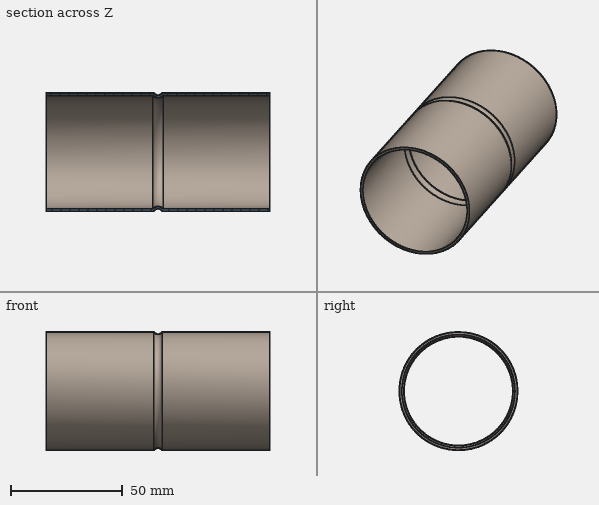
import cadquery as cq
import math

length = 100.0
outer_diameter = 53.0
wall = 1.2
groove_width = 3.6
groove_depth = 1.0

outer_radius = outer_diameter / 2
bore_radius = outer_radius - wall
half_length = length / 2
groove_half_width = groove_width / 2

groove_arc_radius = (groove_half_width**2 + groove_depth**2) / (2 * groove_depth)
arc_center_height = outer_radius - groove_depth + groove_arc_radius
bead_arc_radius = groove_arc_radius + wall
bead_half_width = math.sqrt(bead_arc_radius**2 - (arc_center_height - bore_radius) ** 2)
groove_bottom = outer_radius - groove_depth
bead_crest = groove_bottom - wall

wall_section = (
    cq.Workplane("XY")
    .moveTo(-half_length, outer_radius)
    .lineTo(-groove_half_width, outer_radius)
    .threePointArc((0, groove_bottom), (groove_half_width, outer_radius))
    .lineTo(half_length, outer_radius)
    .lineTo(half_length, bore_radius)
    .lineTo(bead_half_width, bore_radius)
    .threePointArc((0, bead_crest), (-bead_half_width, bore_radius))
    .lineTo(-half_length, bore_radius)
    .close()
)

result = wall_section.revolve(360, (0, 0, 0), (1, 0, 0))